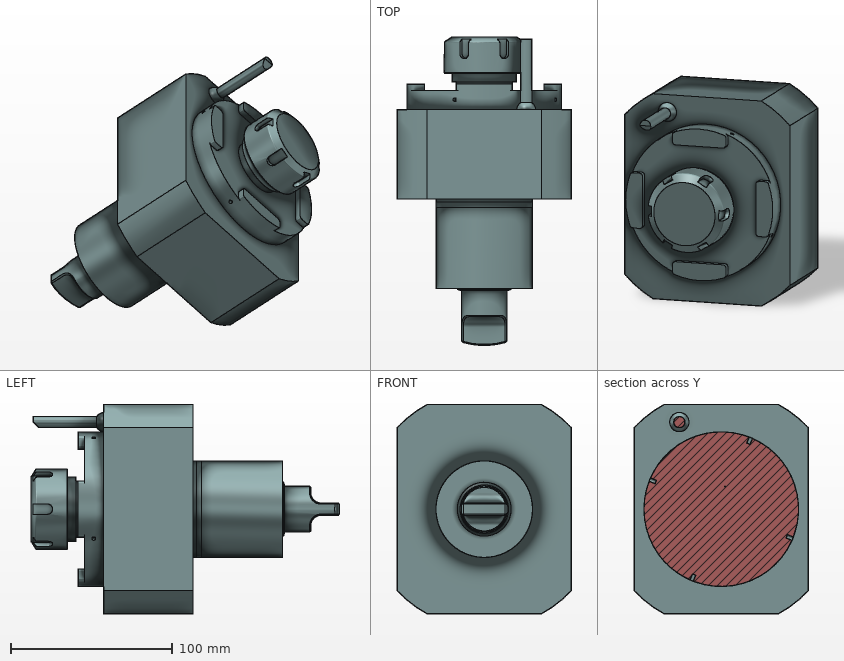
import cadquery as cq
import math


OVERALL_LENGTH = 191.41

BLOCK_WIDTH = 108.0
BLOCK_HEIGHT = 130.0
BLOCK_DEPTH = 55.5
BLOCK_CORNER_DIA = 148.0

FLANGE_DIA = 96.0
FLANGE_FACE_Y = BLOCK_DEPTH + 12.0
LUG_HEIGHT = 3.8
LUG_WIDTH = 35.0
LUG_INNER_DISTANCE = 37.0
LUG_FILLET = 2.0
LUG_COUNT = 4
FLANGE_HOLE_DIA = 2.1
FLANGE_HOLE_DEPTH = 4.0
FLANGE_HOLE_Y = BLOCK_DEPTH + 6.2
FLANGE_HOLE_COUNT = 4
FLANGE_HOLE_FIRST_ANGLE = -22.5

NECK_DIA = 35.0
COLLAR_DIA = 40.0
COLLAR_Y = BLOCK_DEPTH + 17.2
NUT_DIA = 50.0
NUT_FACE_DIA = 40.0
NUT_REAR_Y = BLOCK_DEPTH + 22.3
NUT_FRONT_Y = 100.6
NUT_CONE_ANGLE = 32.0
NUT_EDGE_FILLET = 1.3
NUT_REAR_CHAMFER = 0.6
NUT_SLOT_COUNT = 6
NUT_SLOT_WIDTH = 6.37
NUT_SLOT_LENGTH = 13.4
NUT_SLOT_FLOOR_RADIUS = 22.0

PIPE_DIA = 7.0
PIPE_X = 26.0
PIPE_Z = 54.0
PIPE_TIP_Y = 99.2
BALL_DIA = 12.0
BALL_Y = BLOCK_DEPTH - 0.5

SHANK_DIA = 59.8
SHANK_LENGTH = 55.5
BAND_DIA = 60.0
BAND_START = 1.9
BAND_END = 5.2
END_RING_DIA = 33.4
END_RING_TIP_DIA = 30.0
END_RING_STEP = 0.5
END_RING_LENGTH = 1.1

SHAFT_DIA = 28.5
TIP_Y = NUT_FRONT_Y - OVERALL_LENGTH
TIP_ARC_RADIUS = 48.0
TIP_CORNER_CHAMFER = 1.3
SHOULDER_Y = -72.9
TANG_THICKNESS = 7.6
TANG_FILLET = 6.5
TANG_EDGE_CHAMFER = 0.75
RIM_MARGIN = 0.01


def disc(diameter, y_start, y_end):
    """Cylinder about the spindle axis between two Y positions."""
    return (
        cq.Workplane("XZ", origin=(0, y_start, 0))
        .circle(diameter / 2)
        .extrude(y_start - y_end)
    )


def spun(solid, angle):
    """Copy of a solid turned about the spindle axis."""
    return solid.rotate((0, 0, 0), (0, 1, 0), angle)


def make_block():
    """Rectangular housing whose four corners lie on a common circle."""
    box = cq.Workplane("XY").box(BLOCK_WIDTH, BLOCK_DEPTH, BLOCK_HEIGHT)
    box = box.translate((0, BLOCK_DEPTH / 2, 0))
    return box.intersect(disc(BLOCK_CORNER_DIA, 0, BLOCK_DEPTH))


def make_flange():
    """Round flange with raised lugs on its face and small holes in its rim."""
    lug_top_y = FLANGE_FACE_Y + LUG_HEIGHT
    radius = FLANGE_DIA / 2

    lug_bar = cq.Workplane("XY").box(
        radius - LUG_INNER_DISTANCE, LUG_HEIGHT, LUG_WIDTH, centered=(False, False, True)
    )
    lug_bar = lug_bar.translate((LUG_INNER_DISTANCE, FLANGE_FACE_Y, 0))
    lug = lug_bar.intersect(disc(FLANGE_DIA, FLANGE_FACE_Y, lug_top_y))
    lug = lug.edges("|Y").fillet(LUG_FILLET)
    clearance = disc(FLANGE_DIA, FLANGE_FACE_Y, lug_top_y)
    for i in range(LUG_COUNT):
        clearance = clearance.cut(spun(lug, i * 360 / LUG_COUNT))
    flange = disc(FLANGE_DIA, BLOCK_DEPTH, lug_top_y).cut(clearance)

    hole = (
        cq.Workplane("YZ", origin=(radius - FLANGE_HOLE_DEPTH, FLANGE_HOLE_Y, 0))
        .circle(FLANGE_HOLE_DIA / 2)
        .extrude(2 * FLANGE_HOLE_DEPTH)
    )
    for i in range(FLANGE_HOLE_COUNT):
        flange = flange.cut(spun(hole, FLANGE_HOLE_FIRST_ANGLE + i * 360 / FLANGE_HOLE_COUNT))
    return flange


def make_spindle_nose():
    """Neck and collar between the flange and the nut."""
    neck = disc(NECK_DIA, FLANGE_FACE_Y, COLLAR_Y)
    return neck.union(disc(COLLAR_DIA, COLLAR_Y, NUT_REAR_Y))


def make_nut():
    """Collet nut with a conical front and wrench slots around its rim."""
    radius = NUT_DIA / 2
    face_radius = NUT_FACE_DIA / 2
    cone_base_y = NUT_FRONT_Y - (radius - face_radius) * math.tan(math.radians(NUT_CONE_ANGLE))
    nut = (
        cq.Workplane("XY")
        .moveTo(0, NUT_REAR_Y)
        .lineTo(radius - NUT_REAR_CHAMFER, NUT_REAR_Y)
        .lineTo(radius, NUT_REAR_Y + NUT_REAR_CHAMFER)
        .lineTo(radius, cone_base_y)
        .lineTo(face_radius, NUT_FRONT_Y)
        .lineTo(0, NUT_FRONT_Y)
        .close()
        .revolve(360, (0, 0, 0), (0, 1, 0))
    )
    cone_edge = cq.selectors.BoxSelector(
        (-NUT_DIA, cone_base_y - NUT_EDGE_FILLET / 4, -NUT_DIA),
        (NUT_DIA, cone_base_y + NUT_EDGE_FILLET / 4, NUT_DIA),
    )
    nut = nut.edges("%CIRCLE").edges(cone_edge).fillet(NUT_EDGE_FILLET)

    slot_end_y = NUT_FRONT_Y - NUT_SLOT_LENGTH
    half_width = NUT_SLOT_WIDTH / 2
    slot = (
        cq.Workplane("YZ", origin=(NUT_SLOT_FLOOR_RADIUS, 0, 0))
        .moveTo(NUT_FRONT_Y, -half_width)
        .lineTo(slot_end_y + half_width, -half_width)
        .threePointArc((slot_end_y, 0), (slot_end_y + half_width, half_width))
        .lineTo(NUT_FRONT_Y, half_width)
        .close()
        .extrude(radius)
    )
    for i in range(NUT_SLOT_COUNT):
        nut = nut.cut(spun(slot, i * 360 / NUT_SLOT_COUNT))
    return nut


def make_coolant_pipe():
    """Ball joint and straight pipe whose tip is bevelled below its axis."""
    radius = PIPE_DIA / 2
    ball = cq.Workplane("XY").sphere(BALL_DIA / 2).translate((PIPE_X, BALL_Y, PIPE_Z))
    pipe = (
        cq.Workplane("XZ", origin=(PIPE_X, BALL_Y, PIPE_Z))
        .circle(radius)
        .extrude(BALL_Y - PIPE_TIP_Y)
    )
    bevel = (
        cq.Workplane("YZ", origin=(PIPE_X, PIPE_TIP_Y, PIPE_Z))
        .polyline([(0, 0), (-radius, -radius), (0, -radius)])
        .close()
        .extrude(radius, both=True)
    )
    return ball.union(pipe.cut(bevel))


def make_shank():
    """Mounting shank with a raised sealing band and a bevelled end ring."""
    shank = disc(SHANK_DIA, 0, -SHANK_LENGTH)
    shank = shank.union(disc(BAND_DIA, -BAND_START, -BAND_END))
    ring = (
        cq.Workplane("XY")
        .moveTo(0, -SHANK_LENGTH)
        .lineTo(END_RING_DIA / 2, -SHANK_LENGTH)
        .lineTo(END_RING_DIA / 2, -SHANK_LENGTH - END_RING_STEP)
        .lineTo(END_RING_TIP_DIA / 2, -SHANK_LENGTH - END_RING_LENGTH)
        .lineTo(0, -SHANK_LENGTH - END_RING_LENGTH)
        .close()
        .revolve(360, (0, 0, 0), (0, 1, 0))
    )
    return shank.union(ring)


def make_drive_shaft():
    """Drive shaft ending in a flat tang with a domed tip."""
    radius = SHAFT_DIA / 2
    corner_x = radius - TIP_CORNER_CHAMFER
    corner_sag = TIP_ARC_RADIUS - math.sqrt(TIP_ARC_RADIUS**2 - corner_x**2)
    corner_y = TIP_Y + corner_sag
    side_y = corner_y + TIP_CORNER_CHAMFER
    outline = (
        cq.Workplane("XY")
        .moveTo(-radius, -SHANK_LENGTH)
        .lineTo(-radius, side_y)
        .lineTo(-corner_x, corner_y)
        .threePointArc((0, TIP_Y), (corner_x, corner_y))
        .lineTo(radius, side_y)
        .lineTo(radius, -SHANK_LENGTH)
        .close()
        .extrude(radius, both=True)
    )
    shaft = disc(SHAFT_DIA, -SHANK_LENGTH, TIP_Y).intersect(outline)

    flat_z = TANG_THICKNESS / 2
    arc_mid = TANG_FILLET * (1 - math.sqrt(0.5))
    relief = (
        cq.Workplane("YZ")
        .moveTo(TIP_Y, flat_z)
        .lineTo(SHOULDER_Y - TANG_FILLET, flat_z)
        .threePointArc(
            (SHOULDER_Y - arc_mid, flat_z + arc_mid),
            (SHOULDER_Y, flat_z + TANG_FILLET),
        )
        .lineTo(SHOULDER_Y, radius)
        .lineTo(TIP_Y, radius)
        .close()
        .extrude(radius, both=True)
    )
    shaft = shaft.cut(relief).cut(relief.mirror("XY"))

    for side in (1, -1):
        rim = cq.selectors.BoxSelector(
            (-SHAFT_DIA, TIP_Y, side * (flat_z - RIM_MARGIN)),
            (SHAFT_DIA, SHOULDER_Y + RIM_MARGIN, side * SHAFT_DIA),
        )
        across = cq.selectors.ParallelDirSelector(cq.Vector(1, 0, 0))
        shaft = shaft.edges(rim - across).chamfer(TANG_EDGE_CHAMFER)
    return shaft


result = (
    make_block()
    .union(make_flange())
    .union(make_spindle_nose())
    .union(make_nut())
    .union(make_coolant_pipe())
    .union(make_shank())
    .union(make_drive_shaft())
)